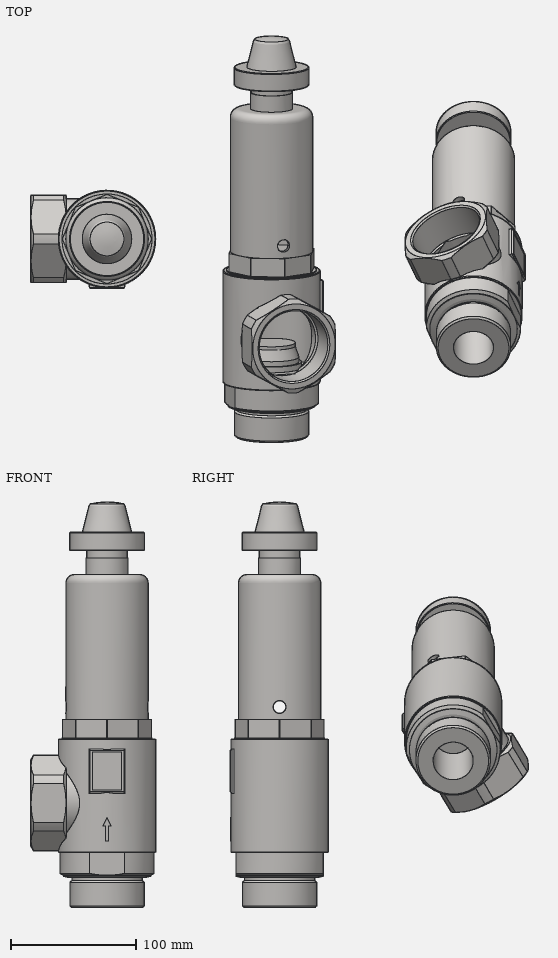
import cadquery as cq
import math


inlet_thread_top = 20.3
inlet_neck_bottom = 21.8
inlet_neck_top = 24.0
spanner_lip_bottom = 25.2
spanner_lip_top = 26.0
spanner_collar_bottom = 27.4
body_bottom = 44.0
body_top = 135.0

body_radius = 39.0
body_edge = 0.7
inlet_thread_radius = 59.6 / 2
inlet_thread_chamfer = 1.5
inlet_neck_radius = 28.2
spanner_collar_radius = 37.7
spanner_lip_radius = 35.0
spanner_flats = 70.0
inlet_shoulder_radius = 30.5

inlet_bore_radius = 16.0
cavity_radius = 34.6
cavity_floor = 56.0
cavity_top = 109.9
seat_top = 60.6
seat_radius = 24.0

outlet_height = 83.7
outlet_face_x = -61.0
outlet_hex_flats = 70.0
outlet_corner_radius = 38.3
outlet_hex_inner_x = -32.5
outlet_chamfer_radius = 34.5
outlet_chamfer_slope = math.tan(math.radians(30))
outlet_neck_radius = 32.3
outlet_thread_radius = 28.7
outlet_thread_chamfer = 1.3
outlet_thread_depth = 28.0
outlet_thread_runout = 1.0
outlet_bore_radius = 27.0

badge_width = 28.4
badge_bottom = 91.5
badge_top = 127.0
badge_front_y = -39.5
badge_rim = 2.6
badge_recess = 0.5
badge_bevel_width = 0.8
badge_bevel_depth = 1.4
arrow_relief = 0.2
arrow_bottom = 53.2
arrow_neck = 65.5
arrow_tip = 72.0
arrow_shaft_width = 2.4
arrow_head_width = 6.4

disc_radius = 22.0
disc_rim_top = 64.6
disc_cone_top = 73.5
disc_top = 76.2
disc_top_radius = 19.0

nut_washer_radius = 36.0
nut_washer_height = 0.7
nut_flats = 66.0
nut_corner_radius = 35.6
nut_top = 150.5

bonnet_radius = 33.0
bonnet_top = 266.5
bonnet_fillet = 7.0
bonnet_wall = 4.0
bonnet_roof = 8.0
vent_radius = 5.0
vent_height = 160.5

stem_radius = 16.9
stem_shoulder = 279.7
stem_upper_radius = 16.3

knob_bottom = 285.5
knob_flange_top = 300.3
knob_flange_radius = 30.0
knob_flange_edge = 0.7
knob_cone_radius = 19.8
knob_cone_top = 321.0
knob_cone_top_radius = 14.6
knob_dome_base = 323.0
knob_dome_radius = 13.5
knob_top = 324.5


def cylinder_z(radius, bottom, top):
    return cq.Workplane("XY").workplane(offset=bottom).circle(radius).extrude(top - bottom)


def cylinder_x(radius, start, end):
    """Cylinder along the outlet axis."""
    plane = cq.Workplane("YZ", origin=(start, 0, outlet_height))
    return plane.circle(radius).extrude(end - start)


def cone_x(start_radius, end_radius, start, length):
    """Truncated cone along the outlet axis."""
    base = cq.Vector(start, 0, outlet_height)
    return cq.Workplane(cq.Solid.makeCone(start_radius, end_radius, length, base, cq.Vector(1, 0, 0)))


def box_between(x_range, y_range, z_range):
    lengths = [high - low for low, high in (x_range, y_range, z_range)]
    corner = (x_range[0], y_range[0], z_range[0])
    return cq.Workplane("XY").box(*lengths, centered=False).translate(corner)


def make_inlet():
    """Threaded end, undercut and spanner collar below the main body."""
    profile = [
        (0, 0),
        (inlet_thread_radius - inlet_thread_chamfer, 0),
        (inlet_thread_radius, inlet_thread_chamfer),
        (inlet_thread_radius, inlet_thread_top),
        (inlet_neck_radius, inlet_neck_bottom),
        (inlet_neck_radius, inlet_neck_top),
        (inlet_shoulder_radius, inlet_neck_top),
        (spanner_lip_radius, spanner_lip_bottom),
        (spanner_lip_radius, spanner_lip_top),
        (spanner_collar_radius, spanner_collar_bottom),
        (spanner_collar_radius, body_bottom),
        (0, body_bottom),
    ]
    turned = cq.Workplane("XZ").polyline(profile).close().revolve(360, (0, 0), (0, 1))
    flats = box_between(
        (-spanner_collar_radius, spanner_collar_radius),
        (-spanner_flats / 2, spanner_flats / 2),
        (0, body_bottom),
    )
    return turned.intersect(flats)


def make_outlet():
    """Hexagonal outlet boss with corners turned round, both ends coned, and its round neck."""
    length = outlet_hex_inner_x - outlet_face_x
    across_corners = outlet_hex_flats / math.cos(math.pi / 6)
    hexagon = (
        cq.Workplane("YZ", origin=(outlet_face_x, 0, outlet_height))
        .transformed(rotate=(0, 0, 90)).polygon(6, across_corners).extrude(length)
    )
    chamfer_drop = outlet_corner_radius - outlet_chamfer_radius
    blank = cylinder_x(outlet_corner_radius, outlet_face_x, outlet_hex_inner_x)
    blank = blank.faces("<X or >X").chamfer(chamfer_drop * outlet_chamfer_slope, chamfer_drop)
    neck = cylinder_x(outlet_neck_radius, outlet_hex_inner_x, 0)
    return hexagon.intersect(blank).union(neck)


def make_badge():
    half = badge_width / 2
    plate = box_between((-half, half), (badge_front_y, 0), (badge_bottom, badge_top))
    plate = plate.faces("<Y").chamfer(badge_bevel_depth, badge_bevel_width)
    recess = box_between(
        (-half + badge_rim, half - badge_rim),
        (badge_front_y, badge_front_y + badge_recess),
        (badge_bottom + badge_rim, badge_top - badge_rim),
    )
    return plate, recess


def make_arrow():
    """Upward flow arrow, standing proud of the body wall by a uniform relief."""
    shaft = arrow_shaft_width / 2
    head = arrow_head_width / 2
    outline = [
        (-shaft, arrow_bottom), (shaft, arrow_bottom), (shaft, arrow_neck), (head, arrow_neck),
        (0, arrow_tip), (-head, arrow_neck), (-shaft, arrow_neck),
    ]
    prism = cq.Workplane("XZ").polyline(outline).close().extrude(body_radius + arrow_relief)
    return prism.intersect(cylinder_z(body_radius + arrow_relief, body_bottom, body_top))


def make_body():
    barrel = cylinder_z(body_radius, body_bottom, body_top).faces("<Z or >Z").chamfer(body_edge)
    badge_plate, badge_pocket = make_badge()
    solid = barrel.union(make_inlet()).union(make_outlet()).union(badge_plate).union(make_arrow())

    cavity = cylinder_z(cavity_radius, cavity_floor, cavity_top)
    seat = cylinder_z(seat_radius, cavity_floor, seat_top)
    inlet_bore = cylinder_z(inlet_bore_radius, 0, seat_top)
    thread_end = outlet_face_x + outlet_thread_depth
    outlet_thread = cylinder_x(outlet_thread_radius, outlet_face_x, thread_end)
    outlet_bore = cylinder_x(outlet_bore_radius, thread_end, -cavity_radius / 2)
    lead_in_radius = outlet_thread_radius + outlet_thread_chamfer
    lead_in = cone_x(lead_in_radius, outlet_thread_radius, outlet_face_x, outlet_thread_chamfer)
    runout = cone_x(outlet_thread_radius, outlet_bore_radius, thread_end, outlet_thread_runout)
    passages = cavity.cut(seat).union(outlet_bore.cut(seat)).union(outlet_thread).union(lead_in).union(runout)
    return solid.cut(badge_pocket).cut(passages).cut(inlet_bore)


def make_valve_disc():
    profile = [
        (0, seat_top), (disc_radius, seat_top), (disc_radius, disc_rim_top),
        (disc_top_radius, disc_cone_top), (disc_top_radius, disc_top), (0, disc_top),
    ]
    return cq.Workplane("XZ").polyline(profile).close().revolve(360, (0, 0), (0, 1))


def make_lock_nut():
    octagon_bottom = body_top + nut_washer_height
    octagon = (
        cq.Workplane("XY").workplane(offset=octagon_bottom)
        .polygon(8, nut_flats / math.cos(math.pi / 8)).extrude(nut_top - octagon_bottom)
        .intersect(cylinder_z(nut_corner_radius, octagon_bottom, nut_top))
    )
    return cylinder_z(nut_washer_radius, body_top, octagon_bottom).union(octagon)


def make_bonnet():
    shell = cylinder_z(bonnet_radius, nut_top, bonnet_top).faces(">Z").edges().fillet(bonnet_fillet)
    hollow = cylinder_z(bonnet_radius - bonnet_wall, nut_top, bonnet_top - bonnet_roof)
    vent = cq.Workplane("YZ").center(0, vent_height).circle(vent_radius)
    return shell.cut(hollow).cut(vent.extrude(bonnet_radius, both=True))


def make_stem():
    lower = cylinder_z(stem_radius, bonnet_top, stem_shoulder)
    return lower.union(cylinder_z(stem_upper_radius, stem_shoulder, knob_bottom))


def make_knob():
    flange = cylinder_z(knob_flange_radius, knob_bottom, knob_flange_top)
    flange = flange.faces("<Z or >Z").chamfer(knob_flange_edge)
    dome_sagitta = knob_top - knob_dome_base
    dome_sphere = (knob_dome_radius ** 2 + dome_sagitta ** 2) / (2 * dome_sagitta)
    half_angle = math.asin(knob_dome_radius / dome_sphere) / 2
    dome_middle = (
        dome_sphere * math.sin(half_angle),
        knob_top - dome_sphere * (1 - math.cos(half_angle)),
    )
    grip = (
        cq.Workplane("XZ").moveTo(0, knob_flange_top).lineTo(knob_cone_radius, knob_flange_top)
        .lineTo(knob_cone_top_radius, knob_cone_top).lineTo(knob_dome_radius, knob_dome_base)
        .threePointArc(dome_middle, (0, knob_top)).close().revolve(360, (0, 0), (0, 1))
    )
    return flange.union(grip)


body = make_body()
valve_disc = make_valve_disc()
lock_nut = make_lock_nut()
bonnet = make_bonnet()
stem = make_stem()
knob = make_knob()

result = cq.Compound.makeCompound([
    body.val(),
    valve_disc.val(),
    lock_nut.val(),
    bonnet.val(),
    stem.val(),
    knob.val(),
])